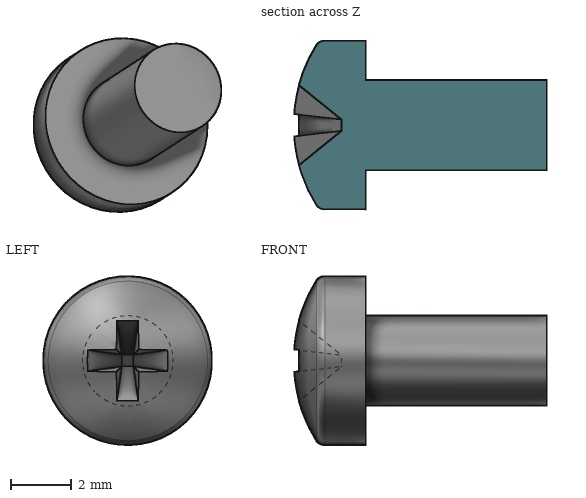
import cadquery as cq
import math

total_length = 8.37
head_diameter = 5.6
head_height = 2.4
shank_diameter = 3.0
dome_radius = 5.005
rim_radius = 0.335

recess_span = 2.95
recess_width = 0.745
recess_floor_width = 0.38
recess_depth = 1.59

corner_distance = recess_width / math.sqrt(2)
apex_loss = dome_radius - math.sqrt(dome_radius**2 - corner_distance**2)
shank_length = total_length - (head_height - apex_loss)

head_radius = head_diameter / 2
dome_center_x = dome_radius - head_height
rim_center_r = head_radius - rim_radius
rim_angle = math.asin(rim_center_r / (dome_radius - rim_radius))
rim_center_x = dome_center_x - (dome_radius - rim_radius) * math.cos(rim_angle)


def dome_point(angle):
    """Point of the dome profile at an angle from the screw axis."""
    return (dome_center_x - dome_radius * math.cos(angle), dome_radius * math.sin(angle))


def rim_point(angle):
    """Point of the rim profile at an angle from the screw axis."""
    return (rim_center_x - rim_radius * math.cos(angle), rim_center_r + rim_radius * math.sin(angle))


def make_body():
    """Domed head and plain shank, revolved about X."""
    return (
        cq.Workplane("XY")
        .moveTo(-head_height, 0)
        .threePointArc(dome_point(rim_angle / 2), dome_point(rim_angle))
        .threePointArc(rim_point((rim_angle + math.pi / 2) / 2), rim_point(math.pi / 2))
        .lineTo(0, head_radius)
        .lineTo(0, shank_diameter / 2)
        .lineTo(shank_length, shank_diameter / 2)
        .lineTo(shank_length, 0)
        .close()
        .revolve(360, (0, 0, 0), (1, 0, 0))
    )


def make_recess_arm(size_y, size_z):
    """Straight-sided taper from the apex plane down to the square floor."""
    return (
        cq.Workplane("YZ", origin=(-head_height, 0, 0))
        .rect(size_y, size_z)
        .workplane(offset=recess_depth)
        .rect(recess_floor_width, recess_floor_width)
        .loft(ruled=True)
    )


result = make_body()
for arm_size in ((recess_span, recess_width), (recess_width, recess_span)):
    result = result.cut(make_recess_arm(*arm_size))